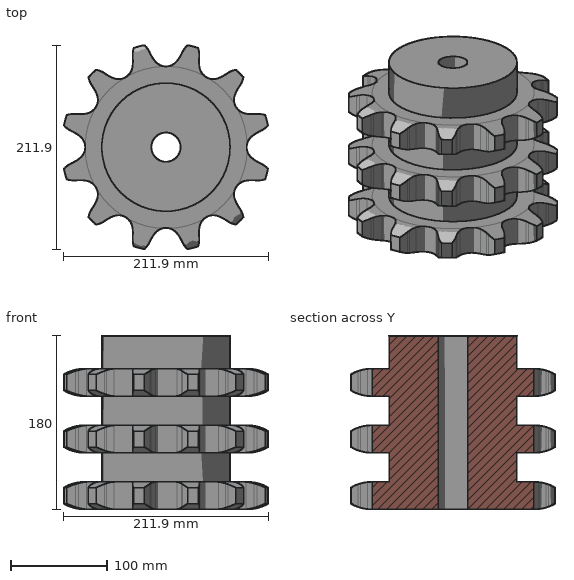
import cadquery as cq
import math

overall_width = 211.9
overall_height = 180.0
tooth_count = 12
row_count = 3
tooth_step = 360 / tooth_count
chain_pitch = 50.8
roller_diameter = 28.5
row_spacing = 58.7
row_thickness = 28.8
cutter_overshoot = 4.2
hub_diameter = 133.0
bore_diameter = 30.0
flat_face_radius = 84.1
rounding_radius = chain_pitch

pitch_radius = chain_pitch / (2 * math.sin(math.pi / tooth_count))
seat_radius = 1.005 * roller_diameter / 2
seat_end_angle = math.radians(35 + 60 / tooth_count)
working_angle = math.radians(18 - 56 / tooth_count)
topping_angle = math.radians(17 - 64 / tooth_count)
working_offset = 0.8 * roller_diameter
topping_offset = 1.4 * roller_diameter
working_radius = seat_radius + working_offset
flat_length = topping_offset * math.sin(topping_angle) - working_offset * math.sin(working_angle)
topping_radius = (
    working_offset * math.cos(working_angle)
    + topping_offset * math.cos(topping_angle)
    - working_radius
)
flank_angle = seat_end_angle - working_angle


def along(origin, distance, angle):
    """Point at a distance from origin; angles run clockwise from +X."""
    return (origin[0] + distance * math.cos(angle), origin[1] - distance * math.sin(angle))


def mirrored(point):
    return (-point[0], point[1])


seat_center = (0, pitch_radius)
seat_bottom = (0, pitch_radius - seat_radius)
seat_end = along(seat_center, seat_radius, seat_end_angle)
working_center = along(seat_center, -working_offset, seat_end_angle)
working_middle = along(working_center, working_radius, seat_end_angle - working_angle / 2)
working_end = along(working_center, working_radius, flank_angle)
flat_end = along(working_end, flat_length, flank_angle - math.pi / 2)

topping_center = along(flat_end, topping_radius, flank_angle)
corner_y = overall_width / 2
corner_angle = math.asin((corner_y - topping_center[1]) / topping_radius)
topping_middle = along(topping_center, -topping_radius, (flank_angle + corner_angle) / 2)
corner = along(topping_center, -topping_radius, corner_angle)
tip_radius = math.hypot(*corner)


def row_blank():
    """Disc with both faces curving inward from the flat face to the tooth tips."""
    reach = tip_radius - flat_face_radius

    def face_drop(distance):
        return rounding_radius - math.sqrt(rounding_radius**2 - distance**2)

    tip_drop = face_drop(reach)
    middle_radius = flat_face_radius + reach / 2
    middle_drop = face_drop(reach / 2)
    return (
        cq.Workplane("XZ")
        .lineTo(flat_face_radius, 0)
        .threePointArc((middle_radius, middle_drop), (tip_radius, tip_drop))
        .lineTo(tip_radius, row_thickness - tip_drop)
        .threePointArc((middle_radius, row_thickness - middle_drop), (flat_face_radius, row_thickness))
        .lineTo(0, row_thickness)
        .close()
        .revolve(360, (0, 0, 0), (0, 1, 0))
    )


def tooth_gap():
    """Cutter for one gap between teeth, open beyond the tips."""
    open_end = (corner[0], tip_radius + cutter_overshoot)
    return (
        cq.Workplane("XY")
        .moveTo(*mirrored(open_end))
        .lineTo(*mirrored(corner))
        .threePointArc(mirrored(topping_middle), mirrored(flat_end))
        .lineTo(*mirrored(working_end))
        .threePointArc(mirrored(working_middle), mirrored(seat_end))
        .threePointArc(seat_bottom, seat_end)
        .threePointArc(working_middle, working_end)
        .lineTo(*flat_end)
        .threePointArc(topping_middle, corner)
        .lineTo(*open_end)
        .close()
        .extrude(row_thickness)
    )


def toothed_row():
    row = row_blank()
    gap = tooth_gap()
    for index in range(tooth_count):
        row = row.cut(gap.rotate((0, 0, 0), (0, 0, 1), index * tooth_step))
    return row


sprocket = cq.Workplane("XY").circle(hub_diameter / 2).extrude(overall_height)
row = toothed_row()
for index in range(row_count):
    sprocket = sprocket.union(row.translate((0, 0, index * row_spacing)))

bore = cq.Workplane("XY").circle(bore_diameter / 2).extrude(overall_height)
result = sprocket.cut(bore)